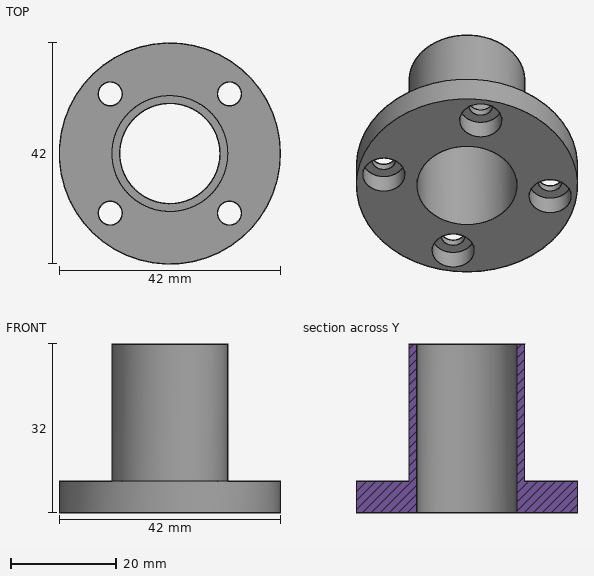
import cadquery as cq

flange_diameter = 42.0
flange_thickness = 6.0

total_height = 32.0
tube_diameter = 22.0
bore_diameter = 19.0

bolt_hole_diameter = 4.5
counterbore_diameter = 8.0
counterbore_depth = 4.4
bolt_circle_diameter = 32.0
bolt_hole_count = 4
first_bolt_angle = 45.0


def make_body():
    """Round flange with a coaxial tube, both standing on the XY plane."""
    flange = cq.Workplane("XY").circle(flange_diameter / 2).extrude(flange_thickness)
    tube = cq.Workplane("XY").circle(tube_diameter / 2).extrude(total_height)
    return flange.union(tube)


def make_bore():
    """Straight bore through the tube and flange."""
    return cq.Workplane("XY").circle(bore_diameter / 2).extrude(total_height)


def make_bolt_pattern(diameter, height):
    """Upright cylinders evenly spaced on the bolt circle, starting at the underside."""
    return (
        cq.Workplane("XY")
        .polarArray(bolt_circle_diameter / 2, first_bolt_angle, 360, bolt_hole_count)
        .circle(diameter / 2)
        .extrude(height)
    )


bolt_holes = make_bolt_pattern(bolt_hole_diameter, flange_thickness)
counterbores = make_bolt_pattern(counterbore_diameter, counterbore_depth)

result = make_body().cut(make_bore()).cut(bolt_holes).cut(counterbores)